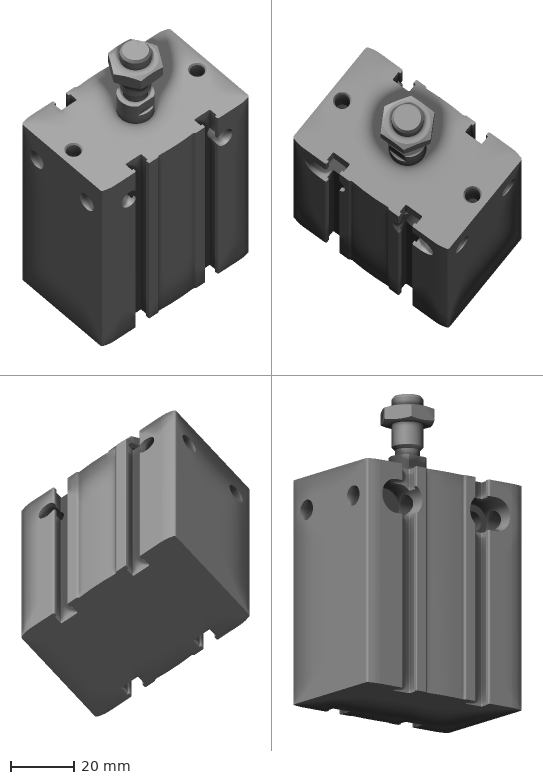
import cadquery as cq
import math

TOTAL_HEIGHT = 101.0
HOUSING_HEIGHT = 72.9
HOUSING_WIDTH = 40.0
HOUSING_LENGTH = 62.0
HALF_WIDTH = HOUSING_WIDTH / 2
HALF_LENGTH = HOUSING_LENGTH / 2

CORNER_SIZE = 0.9
CORNER_BULGE = CORNER_SIZE * (1 - math.sqrt(0.5))
SIDE_CURVE_INSET = 0.6
SIDE_CURVE_START = 26.4
SIDE_CURVE_END = HALF_LENGTH - CORNER_SIZE
RECESS_OUTER_Y = 8.0
RECESS_INNER_Y = 7.3
RECESS_DEPTH = 0.5
RECESS_FILLET = 0.3
CROWN_HEIGHT = 0.3

GROOVE_Y = 14.4
GROOVE_MOUTH = 5.3
GROOVE_WIDTH = 6.7
GROOVE_DEPTH = 4.6
GROOVE_LIP = 1.4
GROOVE_BOTTOM_FILLET = 0.4
OUTER_LIP_FILLET = 0.6
INNER_LIP_FILLET = 0.3

CROSS_HOLE_DIAMETER = 6.6
CROSS_HOLE_Z = 62.0
LENGTHWISE_HOLE_X = 12.0
SIDEWAYS_HOLE_Y = 20.0
POCKET_WIDTH = 11.0
POCKET_STRETCH = 4.9
POCKET_DEPTH = 12.1

TOP_HOLE_Y = 26.0
TOP_HOLE_DIAMETER = 4.9
TOP_HOLE_MOUTH = 6.0
TOP_HOLE_DEPTH = 10.0
DRILL_POINT_ANGLE = 118.0

ROD_DIAMETER = 12.0
ROD_FLATS = 10.0
ROD_FLAT_BOTTOM_Z = TOTAL_HEIGHT - 24.2
ROD_SHOULDER_Z = TOTAL_HEIGHT - 20.0
THREAD_DIAMETER = 10.0
THREAD_NECK_DIAMETER = 8.0
THREAD_BOTTOM_Z = TOTAL_HEIGHT - 16.5
TIP_DIAMETER = 8.6
TIP_CHAMFER_HEIGHT = 0.9

NUT_ACROSS_FLATS = 16.0
NUT_HEIGHT = 5.0
NUT_TOP_Z = TOTAL_HEIGHT - 4.0
NUT_FACE_DIAMETER = 14.6
NUT_CHAMFER_ANGLE = 20.0


def housing_block():
    """Extruded outline with curved outer sides and a crowned middle recess."""
    side_x = HALF_WIDTH - SIDE_CURVE_INSET
    end_x = side_x - CORNER_SIZE
    curve_length = SIDE_CURVE_END - SIDE_CURVE_START
    curve_mid_x = HALF_WIDTH - SIDE_CURVE_INSET / 4
    curve_mid_y = SIDE_CURVE_START + curve_length / 2
    recess_x = HALF_WIDTH - RECESS_DEPTH
    half = (
        cq.Workplane("XY")
        .moveTo(0, HALF_LENGTH)
        .lineTo(end_x, HALF_LENGTH)
        .threePointArc((side_x - CORNER_BULGE, HALF_LENGTH - CORNER_BULGE), (side_x, SIDE_CURVE_END))
        .threePointArc((curve_mid_x, curve_mid_y), (HALF_WIDTH, SIDE_CURVE_START))
        .lineTo(HALF_WIDTH, RECESS_OUTER_Y)
        .lineTo(recess_x, RECESS_INNER_Y)
        .threePointArc((recess_x + CROWN_HEIGHT, 0), (recess_x, -RECESS_INNER_Y))
        .lineTo(HALF_WIDTH, -RECESS_OUTER_Y)
        .lineTo(HALF_WIDTH, -SIDE_CURVE_START)
        .threePointArc((curve_mid_x, -curve_mid_y), (side_x, -SIDE_CURVE_END))
        .threePointArc((side_x - CORNER_BULGE, CORNER_BULGE - HALF_LENGTH), (end_x, -HALF_LENGTH))
        .lineTo(0, -HALF_LENGTH)
        .close()
        .extrude(HOUSING_HEIGHT)
    )
    return half.union(half.mirror("YZ"))


def sensor_groove(side, end):
    """T-shaped groove along Z; side and end are the signs of its X and Y."""
    chamber_depth = GROOVE_DEPTH - GROOVE_LIP
    mouth = (
        cq.Workplane("XY")
        .center(side * (HALF_WIDTH - GROOVE_DEPTH / 2), end * GROOVE_Y)
        .rect(GROOVE_DEPTH, GROOVE_MOUTH)
        .extrude(HOUSING_HEIGHT)
    )
    chamber = (
        cq.Workplane("XY")
        .center(side * (HALF_WIDTH - GROOVE_LIP - chamber_depth / 2), end * GROOVE_Y)
        .rect(chamber_depth, GROOVE_WIDTH)
        .extrude(HOUSING_HEIGHT)
        .edges("|Z and " + ("<X" if side > 0 else ">X"))
        .fillet(GROOVE_BOTTOM_FILLET)
    )
    return mouth.union(chamber)


def round_edge_at(body, x, y, radius):
    """Round the Z-parallel edge that passes nearest to (x, y)."""
    edge_point = (x, y, HOUSING_HEIGHT / 2)
    return body.edges("|Z").edges(cq.selectors.NearestToPointSelector(edge_point)).fillet(radius)


def round_side_edges(body):
    """Round both lips of every groove and both edges of every recess step."""
    outer_lip_y = GROOVE_Y + GROOVE_MOUTH / 2
    inner_lip_y = GROOVE_Y - GROOVE_MOUTH / 2
    for side in (-1, 1):
        for end in (-1, 1):
            face_x = side * HALF_WIDTH
            recess_x = side * (HALF_WIDTH - RECESS_DEPTH)
            body = round_edge_at(body, face_x, end * outer_lip_y, OUTER_LIP_FILLET)
            body = round_edge_at(body, face_x, end * inner_lip_y, INNER_LIP_FILLET)
            body = round_edge_at(body, face_x, end * RECESS_OUTER_Y, RECESS_FILLET)
            body = round_edge_at(body, recess_x, end * RECESS_INNER_Y, RECESS_FILLET)
    return body


def lengthwise_holes():
    """Two through holes along Y."""
    return (
        cq.Workplane("XZ", origin=(0, HALF_LENGTH, CROSS_HOLE_Z))
        .pushPoints([(-LENGTHWISE_HOLE_X, 0), (LENGTHWISE_HOLE_X, 0)])
        .circle(CROSS_HOLE_DIAMETER / 2)
        .extrude(HOUSING_LENGTH)
    )


def sideways_hole(end):
    """Through hole along X with a slotted pocket that reaches inward from the -X side."""
    hole = (
        cq.Workplane("YZ", origin=(-HALF_WIDTH, end * SIDEWAYS_HOLE_Y, CROSS_HOLE_Z))
        .circle(CROSS_HOLE_DIAMETER / 2)
        .extrude(HOUSING_WIDTH)
    )
    pocket_y = end * (SIDEWAYS_HOLE_Y - POCKET_STRETCH / 2)
    pocket = (
        cq.Workplane("YZ", origin=(-HALF_WIDTH, pocket_y, CROSS_HOLE_Z))
        .slot2D(POCKET_STRETCH + POCKET_WIDTH, POCKET_WIDTH)
        .extrude(POCKET_DEPTH)
    )
    return hole.union(pocket)


def top_hole(end):
    """Blind hole with a chamfered mouth and a conical bottom."""
    radius = TOP_HOLE_DIAMETER / 2
    mouth_radius = TOP_HOLE_MOUTH / 2
    point_depth = radius / math.tan(math.radians(DRILL_POINT_ANGLE / 2))
    return (
        cq.Workplane("XZ")
        .polyline([
            (0, 0),
            (mouth_radius, 0),
            (radius, radius - mouth_radius),
            (radius, -TOP_HOLE_DEPTH),
            (0, -TOP_HOLE_DEPTH - point_depth),
        ])
        .close()
        .revolve(360, (0, 0), (0, 1))
        .translate((0, end * TOP_HOLE_Y, HOUSING_HEIGHT))
    )


def make_housing():
    body = housing_block()
    for side in (-1, 1):
        for end in (-1, 1):
            body = body.cut(sensor_groove(side, end))
    body = round_side_edges(body)
    body = body.cut(lengthwise_holes())
    for end in (-1, 1):
        body = body.cut(sideways_hole(end))
        body = body.cut(top_hole(end))
    return body


def make_rod():
    """Stepped rod that stands on the housing, with two wrench flats facing X."""
    rod_radius = ROD_DIAMETER / 2
    neck_radius = THREAD_NECK_DIAMETER / 2
    thread_radius = THREAD_DIAMETER / 2
    rod = (
        cq.Workplane("XZ")
        .polyline([
            (0, HOUSING_HEIGHT),
            (rod_radius, HOUSING_HEIGHT),
            (rod_radius, ROD_SHOULDER_Z),
            (neck_radius, ROD_SHOULDER_Z),
            (neck_radius, THREAD_BOTTOM_Z - (thread_radius - neck_radius)),
            (thread_radius, THREAD_BOTTOM_Z),
            (thread_radius, TOTAL_HEIGHT - TIP_CHAMFER_HEIGHT),
            (TIP_DIAMETER / 2, TOTAL_HEIGHT),
            (0, TOTAL_HEIGHT),
        ])
        .close()
        .revolve(360, (0, 0), (0, 1))
    )
    for side in (-1, 1):
        beside_flat = (
            cq.Workplane("XY", origin=(0, 0, ROD_FLAT_BOTTOM_Z))
            .center(side * (ROD_FLATS + ROD_DIAMETER) / 2, 0)
            .rect(ROD_DIAMETER, ROD_DIAMETER)
            .extrude(ROD_SHOULDER_Z - ROD_FLAT_BOTTOM_Z)
        )
        rod = rod.cut(beside_flat)
    return rod


def make_nut():
    """Hexagon nut with corners along Y, chamfered on both faces."""
    corner_radius = NUT_ACROSS_FLATS / math.sqrt(3)
    face_radius = NUT_FACE_DIAMETER / 2
    chamfer_height = (corner_radius - face_radius) * math.tan(math.radians(NUT_CHAMFER_ANGLE))
    hexagon = (
        cq.Workplane("XY")
        .polygon(6, 2 * corner_radius)
        .extrude(NUT_HEIGHT)
        .rotate((0, 0, 0), (0, 0, 1), 90)
    )
    chamfer_envelope = (
        cq.Workplane("XZ")
        .polyline([
            (0, 0),
            (face_radius, 0),
            (corner_radius, chamfer_height),
            (corner_radius, NUT_HEIGHT - chamfer_height),
            (face_radius, NUT_HEIGHT),
            (0, NUT_HEIGHT),
        ])
        .close()
        .revolve(360, (0, 0), (0, 1))
    )
    bore = cq.Workplane("XY").circle(THREAD_DIAMETER / 2).extrude(NUT_HEIGHT)
    nut = hexagon.intersect(chamfer_envelope).cut(bore)
    return nut.translate((0, 0, NUT_TOP_Z - NUT_HEIGHT))


housing = make_housing()
rod = make_rod()
nut = make_nut()

result = cq.Compound.makeCompound([housing.val(), rod.val(), nut.val()])